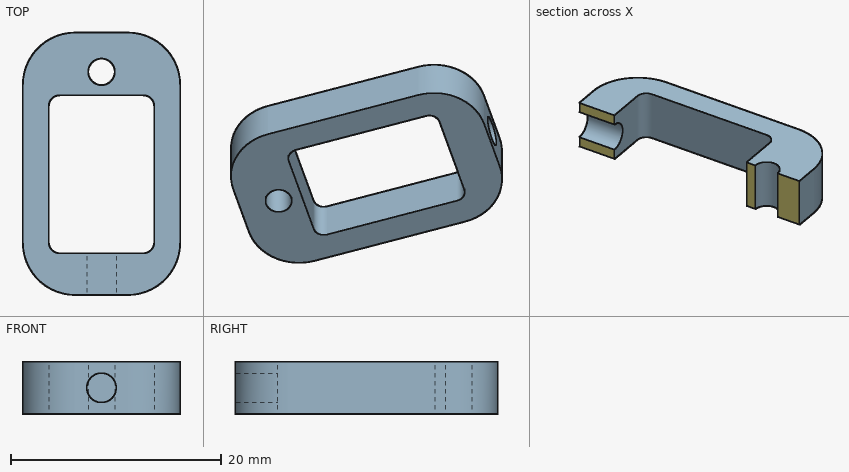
import cadquery as cq

width = 15
length = 25
thickness = 5
outer_radius = 5

window_width = 10
window_length = 15
window_radius = 1
front_wall = 4
window_y = -length / 2 + front_wall + window_length / 2

eyelet_diameter = 2.5
eyelet_edge_distance = 3.75
eyelet_y = length / 2 - eyelet_edge_distance

front_hole_diameter = 2.8


def rounded_block(block_width, block_length, radius):
    """Upright block with rounded vertical edges, centred on the origin."""
    block = cq.Workplane("XY").box(block_width, block_length, thickness)
    return block.edges("|Z").fillet(radius)


frame = rounded_block(width, length, outer_radius)
window = rounded_block(window_width, window_length, window_radius).translate((0, window_y, 0))

eyelet = (
    cq.Workplane("XY", origin=(0, eyelet_y, -thickness / 2))
    .circle(eyelet_diameter / 2)
    .extrude(thickness)
)

front_hole = (
    cq.Workplane("XZ", origin=(0, -length / 2, 0))
    .circle(front_hole_diameter / 2)
    .extrude(-front_wall)
)

result = frame.cut(window).cut(eyelet).cut(front_hole)